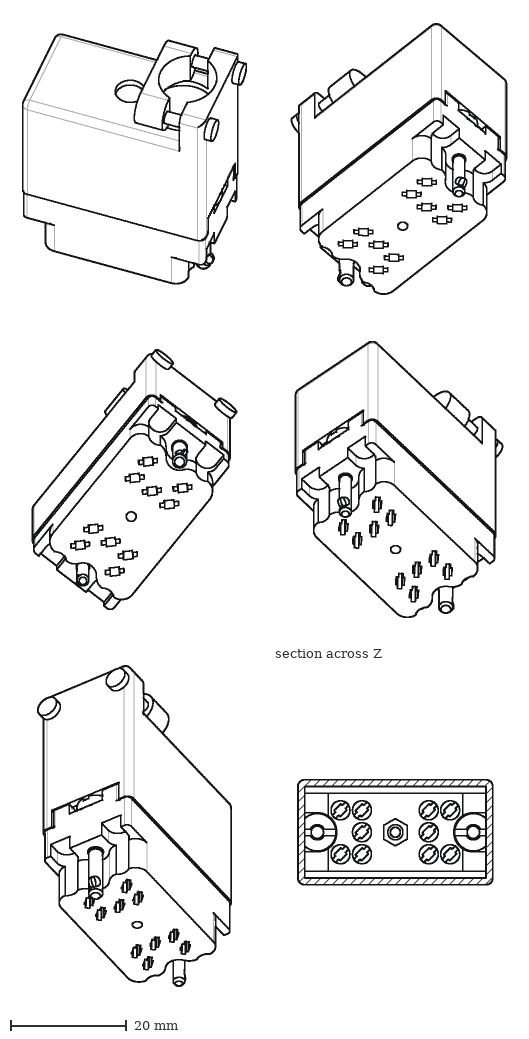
import cadquery as cq
import math


housing_length = 33.65
housing_width = 18.15
housing_bottom = 16.6
housing_top = 39.6
plate_top = 46.8
plate_thickness = 4.45
housing_fillet = 1.2
housing_wall = 1.2
access_hole_radius = 2.57
window_width = 13.65
window_top = 20.45

cable_hole_radius = 5.8
cable_hole_x = 26.55
bar_cable_radius = 5.55
bar_cable_x = 28.0

bar_width = 17.95
bar_height = 6.35
bar_thickness = 5.1
bar_to_plate_gap = 3.25
screw_spacing = 13.95
screw_radius = 1.08
screw_head_radius = 1.9
screw_head_height = 1.25
screw_grip_in_bar = 3.75

base_inset = 0.165
base_width = 17.5
base_fillet = 0.9
flange_bottom = 10.15
tongue_width = 13.48
tongue_fillet = 0.45
tongue_top = 20.4
core_length = 23.2
core_top = 21.52

plug_bottom = 3.45
plug_length = 26.15
plug_round = 2.35

keyway_radius = 1.95
keyway_y = 5.2
keyway_center_x = 2.25
keyway_top = 12.85

contact_radius = 1.65
contact_floor = flange_bottom
contact_row_pitch = 3.8
inner_column_offset = 5.75
outer_column_offset = 9.45
key_block_length = 1.65
key_block_width = 1.45
key_slot_width = 0.75
key_angle = 45

hexagon_sides = 6
nut_across_flats = 4.05
nut_pocket_depth = 1.85
center_hole_radius = 0.85
center_sink_radius = 1.3

pin_inset = 3.35
left_pin_radius = 1.05
right_pin_radius = 1.2
pin_head_radius = 3.25
pin_head_bottom = 18.15
pin_head_recess_radius = 3.35
pin_slot_width = 1.1
pin_slot_floor = 19.85
pin_socket_radius = 1.08
pin_socket_depth = 1.15
pin_socket_chamfer = 0.25
pin_flare = 0.15
pin_flare_height = 0.37
pin_tip_chamfer = 0.37
pin_tip_height = 0.55
blade_height = 2.45
blade_arc_radius = 1.35
blade_thickness = 0.55
blade_z = 2.3
blade_inset = 0.115

middle_x = housing_length / 2
plate_x = housing_length - plate_thickness
bar_x = plate_x - bar_to_plate_gap - bar_thickness
clamp_z = plate_top - bar_height / 2
screw_tip_x = bar_x + bar_thickness - screw_grip_in_bar
end_places = ((pin_inset, left_pin_radius, -1), (housing_length - pin_inset, right_pin_radius, 1))
end_slot_run = pin_inset + 0.45
screw_rows = (-screw_spacing / 2, screw_spacing / 2)


def block(x_start, x_end, width, z_start, z_end):
    """A box centred on Y = 0."""
    box = cq.Workplane("XY").box(x_end - x_start, width, z_end - z_start, centered=(False, True, False))
    return box.translate((x_start, 0, z_start))


def rod(x, y, radius, z_start, z_end):
    """An upright cylinder."""
    disc = cq.Workplane("XY", origin=(x, y, z_start)).circle(radius)
    return disc.extrude(z_end - z_start)


def cross_rod(y, radius, x_start, x_end):
    """A cylinder along X at the height of the clamp screws."""
    disc = cq.Workplane("YZ", origin=(x_start, y, clamp_z)).circle(radius)
    return disc.extrude(x_end - x_start)


def end_slot(x, y, radius, direction, z_start, z_end):
    """A round-bottomed slot running from (x, y) out past the end of the base."""
    run = block(0, end_slot_run, 2 * radius, z_start, z_end)
    if direction < 0:
        run = run.mirror("YZ")
    return rod(x, y, radius, z_start, z_end).union(run.translate((x, y, 0)))


def make_housing():
    hood = block(0, plate_x, housing_width, housing_bottom, housing_top)
    hood = hood.edges("|Z and <X").fillet(housing_fillet)
    hood = hood.faces(">Z").edges("not >X").fillet(housing_fillet)
    plate = block(plate_x, housing_length, housing_width, housing_bottom, plate_top)
    plate = plate.edges("(|Z and >X) or (|X and >Z)").fillet(housing_fillet)
    body = hood.union(plate)

    cavity = block(
        housing_wall,
        housing_length - housing_wall,
        housing_width - 2 * housing_wall,
        housing_bottom,
        housing_top - housing_wall,
    )
    body = body.cut(cavity)
    body = body.cut(block(0, housing_length, window_width, housing_bottom, window_top))
    body = body.cut(rod(middle_x, 0, access_hole_radius, core_top, housing_top))
    body = body.cut(rod(cable_hole_x, 0, cable_hole_radius, core_top, plate_top))
    for y in screw_rows:
        body = body.cut(cross_rod(y, screw_radius, plate_x, housing_length))
    return body


def make_clamp_bar():
    bar = cq.Workplane("YZ", origin=(bar_x, 0, clamp_z)).slot2D(bar_width, bar_height).extrude(bar_thickness)
    bar = bar.cut(rod(bar_cable_x, 0, bar_cable_radius, housing_top, plate_top))
    for y in screw_rows:
        bar = bar.cut(cross_rod(y, screw_radius, screw_tip_x, plate_x))
    return bar


def make_clamp_screw(y):
    shank = cross_rod(y, screw_radius, screw_tip_x, housing_length)
    head = cross_rod(y, screw_head_radius, housing_length, housing_length + screw_head_height)
    return shank.union(head)


def make_plug():
    """Plug with rounded corners and a hollow around each pin that flows into the end faces."""
    half_length = plug_length / 2
    half_width = base_width / 2
    corner_x = half_length - plug_round
    corner_y = half_width - plug_round
    pin_x = middle_x - pin_inset
    shoulder_y = math.sqrt((2 * plug_round) ** 2 - (pin_x - corner_x) ** 2)
    meet_x = (pin_x + corner_x) / 2
    meet_y = shoulder_y / 2
    diagonal = plug_round * math.sqrt(0.5)
    turn = math.atan2(shoulder_y, pin_x - corner_x) / 2
    bulge_x = corner_x + plug_round * math.cos(turn)
    bulge_y = shoulder_y - plug_round * math.sin(turn)
    quarter = (
        cq.Workplane("XY", origin=(middle_x, 0, plug_bottom))
        .lineTo(pin_x - plug_round, 0)
        .threePointArc(
            (pin_x - plug_round * math.cos(turn), plug_round * math.sin(turn)),
            (meet_x, meet_y),
        )
        .threePointArc((bulge_x, bulge_y), (half_length, shoulder_y))
        .lineTo(half_length, corner_y)
        .threePointArc((corner_x + diagonal, corner_y + diagonal), (corner_x, half_width))
        .lineTo(0, half_width)
        .close()
        .extrude(flange_bottom - plug_bottom)
    )
    half = quarter.union(quarter.mirror("XZ"))
    return half.union(half.mirror("YZ", (middle_x, 0, 0)))


def contact_places():
    places = []
    for side in (-1, 1):
        for row in (-1, 0, 1):
            places.append((middle_x + side * inner_column_offset, row * contact_row_pitch))
        for row in (-1, 1):
            places.append((middle_x + side * outer_column_offset, row * contact_row_pitch))
    return places


def make_contact_cavity(x, y):
    depth = contact_floor - plug_bottom
    key = cq.Workplane("XY").rect(key_block_length, key_block_width).extrude(depth)
    wings = cq.Workplane("XY").rect(2 * contact_radius, key_slot_width).extrude(depth)
    wings = wings.intersect(rod(0, 0, contact_radius, 0, depth))
    opening = key.union(wings).rotate((0, 0, 0), (0, 0, 1), key_angle)
    barrel = rod(x, y, contact_radius, contact_floor, core_top)
    return barrel.union(opening.translate((x, y, plug_bottom)))


def make_nut_pocket():
    floor = core_top - nut_pocket_depth
    half_side_angle = 180 / hexagon_sides
    across_corners = nut_across_flats / math.cos(math.radians(half_side_angle))
    pocket = (
        cq.Workplane("XY", origin=(middle_x, 0, floor))
        .transformed(rotate=(0, 0, half_side_angle))
        .polygon(hexagon_sides, across_corners)
        .extrude(nut_pocket_depth)
    )
    hole = rod(middle_x, 0, center_hole_radius, plug_bottom, floor)
    sink = cq.Solid.makeCone(
        center_hole_radius,
        center_sink_radius,
        center_sink_radius - center_hole_radius,
        cq.Vector(middle_x, 0, floor - center_sink_radius + center_hole_radius),
    )
    return pocket.union(hole).union(cq.Workplane(sink))


def make_base():
    base_end = housing_length - base_inset
    flange = block(base_inset, base_end, base_width, flange_bottom, housing_bottom)
    flange = flange.edges("|Z").fillet(base_fillet)
    tongue = block(base_inset, base_end, tongue_width, housing_bottom, tongue_top)
    tongue = tongue.edges("|Z").fillet(tongue_fillet)
    core_start = middle_x - core_length / 2
    core = block(core_start, core_start + core_length, tongue_width, housing_bottom, core_top)
    body = flange.union(make_plug()).union(tongue).union(core)

    for pin_x, pin_radius, direction in end_places:
        body = body.cut(end_slot(pin_x, 0, pin_head_recess_radius, direction, pin_head_bottom, core_top))
        body = body.cut(rod(pin_x, 0, pin_radius, flange_bottom, pin_head_bottom))
        keyway_x = middle_x + direction * (middle_x - keyway_center_x)
        for y in (-keyway_y, keyway_y):
            body = body.cut(end_slot(keyway_x, y, keyway_radius, direction, plug_bottom, keyway_top))
    for x, y in contact_places():
        body = body.cut(make_contact_cavity(x, y))
    return body.cut(make_nut_pocket())


def lens(x, thickness):
    """A lens-shaped plate in the XZ plane, centred on Y = 0."""
    half_height = blade_height / 2
    sag = blade_arc_radius - math.sqrt(blade_arc_radius**2 - half_height**2)
    return (
        cq.Workplane("XZ", origin=(x, 0, blade_z))
        .moveTo(0, -half_height)
        .threePointArc((sag, 0), (0, half_height))
        .threePointArc((-sag, 0), (0, -half_height))
        .close()
        .extrude(thickness / 2, both=True)
    )


def make_pin(x, radius, direction):
    turned = (
        cq.Workplane("XZ", origin=(x, 0, 0))
        .lineTo(radius - pin_tip_chamfer, 0)
        .lineTo(radius, pin_tip_height)
        .lineTo(radius, flange_bottom - pin_flare_height)
        .lineTo(radius + pin_flare, flange_bottom)
        .lineTo(radius, flange_bottom)
        .lineTo(radius, pin_head_bottom)
        .lineTo(pin_head_radius, pin_head_bottom)
        .lineTo(pin_head_radius, tongue_top)
        .lineTo(0, tongue_top)
        .close()
        .revolve(360, (0, 0, 0), (0, 1, 0))
    )

    slot = block(x - pin_head_radius, x + pin_head_radius, pin_slot_width, pin_slot_floor, tongue_top)
    socket = rod(x, 0, pin_socket_radius, pin_slot_floor - pin_socket_depth, tongue_top)
    sink = cq.Solid.makeCone(
        pin_socket_radius,
        pin_socket_radius + pin_socket_chamfer,
        pin_socket_chamfer,
        cq.Vector(x, 0, tongue_top - pin_socket_chamfer),
    )
    turned = turned.cut(slot).cut(socket).cut(cq.Workplane(sink))

    blade_x = x + direction * (radius - blade_inset)
    scallop = lens(blade_x, 2 * radius)
    return turned.cut(scallop).union(lens(blade_x, blade_thickness))


housing = make_housing()
base = make_base()
clamp_bar = make_clamp_bar()
clamp_screws = [make_clamp_screw(y) for y in screw_rows]
pins = [make_pin(x, radius, direction) for x, radius, direction in end_places]

result = cq.Compound.makeCompound(
    [
        housing.val(),
        base.val(),
        clamp_bar.val(),
        *[screw.val() for screw in clamp_screws],
        *[pin.val() for pin in pins],
    ]
)